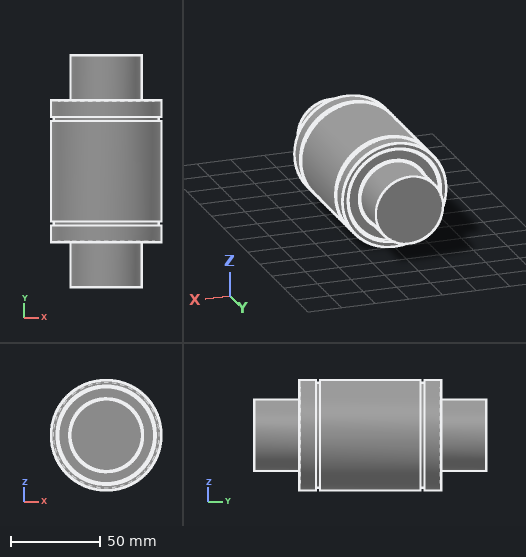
import cadquery as cq

shaft_length = 130.0
shaft_diameter = 40.0

sleeve_length = 80.0
sleeve_diameter = 62.0
edge_chamfer = 0.3

groove_diameter = 59.0
groove_width = 2.1
groove_outer_span = 60.5

recess_mouth_diameter = 55.6
recess_floor_diameter = 53.7
recess_depth = 1.0
lip_base_diameter = 41.5
lip_top_diameter = 40.5
lip_height = 0.6


def cylinder(diameter, length, start_y):
    """Cylinder about the Y axis, from start_y towards +Y."""
    return cq.Workplane("XZ", origin=(0, start_y, 0)).circle(diameter / 2).extrude(-length)


def snap_ring_groove(start_y):
    """Ring of material to remove from the outside of the sleeve."""
    blank = cylinder(sleeve_diameter, groove_width, start_y)
    return blank.cut(cylinder(groove_diameter, groove_width, start_y))


def end_recess():
    """Ring to remove from the -Y end of the sleeve, leaving the lip standing on the recess floor."""
    mouth_y = -sleeve_length / 2
    floor_y = mouth_y + recess_depth
    return (
        cq.Workplane("XY")
        .moveTo(shaft_diameter / 2, mouth_y)
        .lineTo(recess_mouth_diameter / 2, mouth_y)
        .lineTo(recess_floor_diameter / 2, floor_y)
        .lineTo(lip_base_diameter / 2, floor_y)
        .lineTo(lip_top_diameter / 2, floor_y - lip_height)
        .lineTo(shaft_diameter / 2, floor_y - lip_height)
        .close()
        .revolve(360, (0, 0, 0), (0, 1, 0))
    )


sleeve = cylinder(sleeve_diameter, sleeve_length, -sleeve_length / 2)
sleeve = sleeve.faces("<Y or >Y").edges().chamfer(edge_chamfer)
shaft = cylinder(shaft_diameter, shaft_length, -shaft_length / 2)
result = sleeve.union(shaft)

for groove_start in (-groove_outer_span / 2, groove_outer_span / 2 - groove_width):
    result = result.cut(snap_ring_groove(groove_start))

front_recess = end_recess()
result = result.cut(front_recess).cut(front_recess.mirror("XZ"))